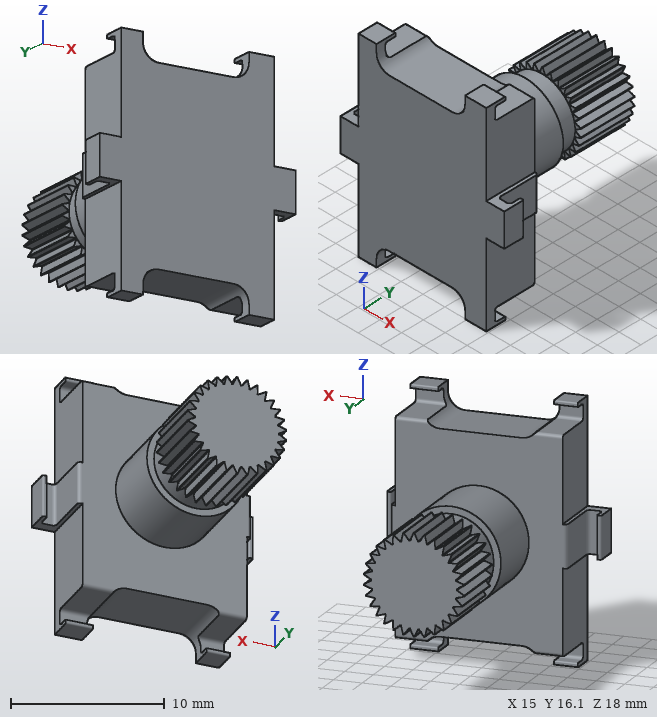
import cadquery as cq
import math


housing_width = 11.7
housing_depth = 4.5
notched_height = 14.15
notch_width = 8.1
notch_offset = -0.15
notch_radius = 1.2

overall_height = 18.0
overall_width = 15.0
leg_body_height = 15.07
tab_pad_thickness = 0.3
tab_height = 3.0
lip_thickness = 0.3
lip_reach = 1.8
hook_floor = 0.81
corner_radius = 0.25
lip_tip_radius = 0.1

shaft_diameter = 7.0
shaft_length = 5.0
neck_diameter = 6.0
neck_length = 1.6
overall_depth = 16.1

tooth_count = 30
knurl_tip_radius = 3.53
knurl_root_radius = neck_diameter / 2
knurl_flat_width = 0.05


def hooked_bar(length, body_length, thickness):
    """Bar along X, centred in Z, with a hook at each end reaching toward +Y."""
    half_length = length / 2
    half_body = body_length / 2
    lip_inner = half_length - lip_thickness

    bar = (
        cq.Workplane("XY")
        .moveTo(-half_length, 0)
        .lineTo(half_length, 0)
        .lineTo(half_length, lip_reach)
        .lineTo(lip_inner, lip_reach)
        .lineTo(lip_inner, hook_floor)
        .lineTo(half_body, hook_floor)
        .lineTo(half_body, housing_depth)
        .lineTo(-half_body, housing_depth)
        .lineTo(-half_body, hook_floor)
        .lineTo(-lip_inner, hook_floor)
        .lineTo(-lip_inner, lip_reach)
        .lineTo(-half_length, lip_reach)
        .close()
        .extrude(thickness / 2, both=True)
    )

    def edges_at(y):
        tolerance = 0.02
        return cq.selectors.BoxSelector(
            (-length, y - tolerance, -thickness), (length, y + tolerance, thickness)
        )

    for y, radius in (
        (hook_floor, corner_radius),
        (housing_depth, corner_radius),
        (lip_reach, lip_tip_radius),
    ):
        bar = bar.edges("|Z").edges(edges_at(y)).fillet(radius)
    return bar


def end_notch():
    """Rounded notch that separates the two legs at the +Z end."""
    notch_depth = overall_height - notched_height
    return (
        cq.Workplane("XY")
        .box(notch_width, housing_depth, notch_depth, centered=(True, False, False))
        .edges("|Y and <Z")
        .fillet(notch_radius)
        .translate((notch_offset, 0, notched_height / 2))
    )


def housing():
    quarter_turn = 90
    body = hooked_bar(overall_height, leg_body_height, housing_width)
    body = body.rotate((0, 0, 0), (0, 1, 0), quarter_turn)
    notch = end_notch()
    body = body.cut(notch).cut(notch.mirror("XY"))

    tab_span = housing_width + 2 * tab_pad_thickness
    return body.union(hooked_bar(overall_width, tab_span, tab_height))


def cylinder(diameter, start, length):
    """Cylinder on the shaft axis, from Y = start toward +Y."""
    return cq.Workplane("XZ", origin=(0, start, 0)).circle(diameter / 2).extrude(-length)


def knurl(start, length):
    """Toothed grip; one tooth points along +Z."""
    half_pitch = math.pi / tooth_count
    points = []
    for i in range(2 * tooth_count):
        radius = knurl_root_radius if i % 2 else knurl_tip_radius
        half_flat = knurl_flat_width / (2 * radius)
        for angle in (i * half_pitch - half_flat, i * half_pitch + half_flat):
            points.append((radius * math.sin(angle), radius * math.cos(angle)))
    return cq.Workplane("XZ", origin=(0, start, 0)).polyline(points).close().extrude(-length)


neck_start = housing_depth + shaft_length
knurl_start = neck_start + neck_length

result = (
    housing()
    .union(cylinder(shaft_diameter, housing_depth, shaft_length))
    .union(cylinder(neck_diameter, neck_start, neck_length))
    .union(knurl(knurl_start, overall_depth - knurl_start))
)